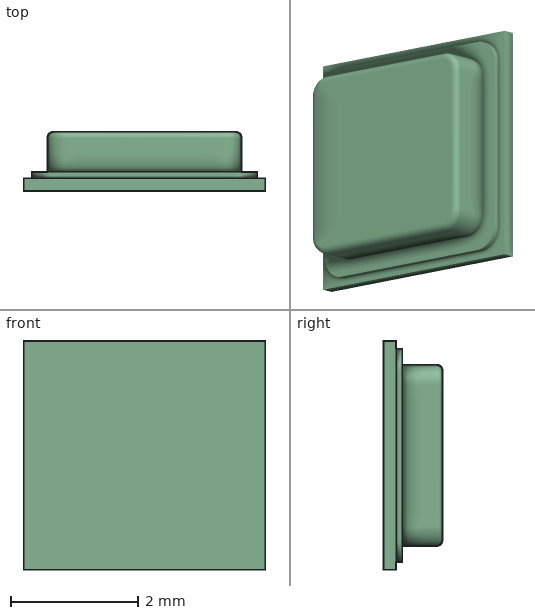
import cadquery as cq

plate_width = 3.8
plate_height = 3.6
plate_thickness = 0.2

flange_width = 3.55
flange_height = 3.35
flange_thickness = 0.1
flange_corner_radius = 0.35

total_depth = 0.93
body_width = 3.05
body_height = 2.85
body_corner_radius = 0.3
body_edge_fillet = 0.1
body_depth = total_depth - plate_thickness - flange_thickness


def upright_block(width, depth, height, start_y):
    """Block centred in X and Z that runs from start_y towards +Y."""
    block = cq.Workplane("XY").box(width, depth, height, centered=(True, False, True))
    return block.translate((0, start_y, 0))


plate = upright_block(plate_width, plate_thickness, plate_height, 0)

flange = upright_block(flange_width, flange_thickness, flange_height, plate_thickness)
flange = flange.edges("|Y").fillet(flange_corner_radius)

body = upright_block(body_width, body_depth, body_height, plate_thickness + flange_thickness)
body = body.edges("|Y").fillet(body_corner_radius)
body = body.faces(">Y").edges().fillet(body_edge_fillet)

result = plate.union(flange).union(body)